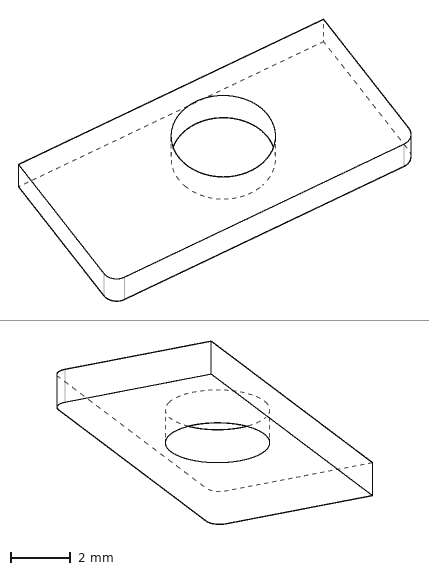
import cadquery as cq

width = 6.0
length = 12.0
thickness = 1.2
corner_radius = 0.5

hole_diameter = 3.5
hole_from_square_edge = 2.55
hole_offset_y = 0.5

plate = cq.Workplane("XY").box(width, length, thickness)
plate = plate.edges("|Z and >X").fillet(corner_radius)

hole_x = hole_from_square_edge - width / 2
result = (
    plate.faces(">Z")
    .workplane(origin=(0, 0, 0))
    .center(hole_x, hole_offset_y)
    .hole(hole_diameter)
)